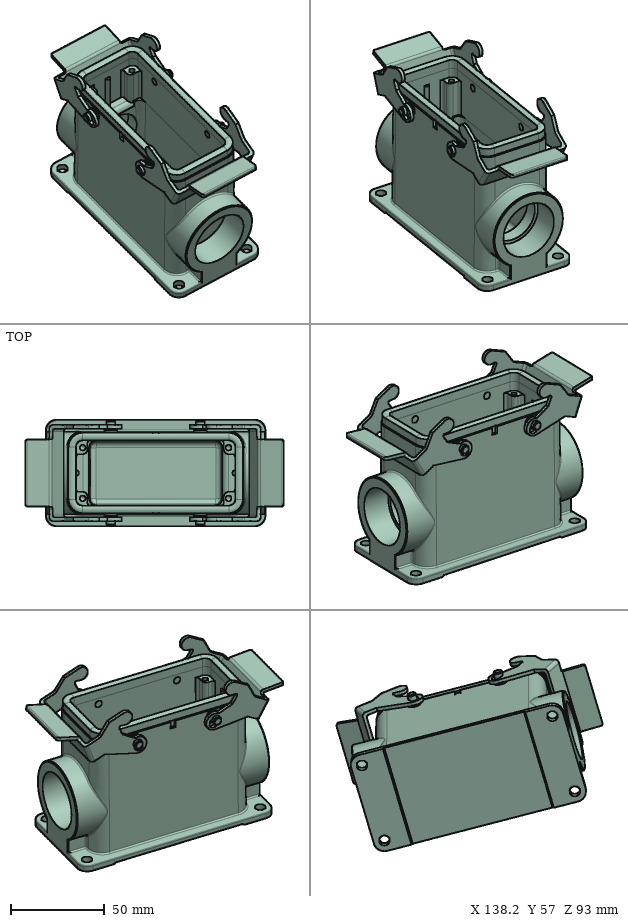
import cadquery as cq
import math

base_length = 117.3
base_width = 57.0
base_thickness = 3.7
base_corner_radius = 6.0
base_edge_round = 0.4
mount_hole_diameter = 5.7
mount_hole_x = 52.7
mount_hole_y = 22.4
foot_relief_length = 77.3
foot_relief_height = 0.8

body_top_z = 75.4
body_top_half_x = 46.9
body_top_half_y = 21.8
body_draft = 0.5
body_top_corner_radius = 7.7
body_top_chamfer = 0.4
body_root_round = 0.8

rim_top_z = 80.6
rim_crown = 0.7
rim_half_x = body_top_half_x - body_top_chamfer
rim_half_y = body_top_half_y - body_top_chamfer
rim_wall = 4.0
rim_corner_radius = 7.5

cavity_half_x = rim_half_x - rim_wall
cavity_half_y = rim_half_y - rim_wall
cavity_corner_radius = rim_corner_radius - rim_wall
upper_draft_start_z = 74.8
ledge_z = 48.3
floor_z = 5.0
upper_draft = 0.1
lower_half_x = 35.6
lower_half_y = cavity_half_y - upper_draft
lower_draft = 0.8
lower_corner_radius = 3.9
floor_round = 2.8
ledge_round = 3.2

post_top_z = 69.1
post_inner_x = 36.5
post_inner_y = 10.1
post_round = 2.5
post_hole_x = 38.9
post_hole_y = 13.5
post_hole_diameter = 3.0
post_hole_depth = 11.0
post_hole_point = 0.8
post_flare = 1.4
rib_diameter = 3.0
rib_top_z = 69.0

entry_axis_z = 30.2
entry_diameter = 44.2
entry_end_x = base_length / 2
entry_end_chamfer = 0.5
entry_bore_diameter = 32.0
entry_bore_depth = 15.9
entry_opening_diameter = 28.0
pedestal_half_width = 11.7

notch_width = 3.2
notch_bottom_z = 70.8
notch_depth = 1.1

pin_x = 23.9
pin_z = 71.0
pin_diameter = 4.8
pin_tip_diameter = 4.0
pin_tip_length = 0.7
pin_end_y = 28.2
shank_diameter = 4.0
collar_diameter = 7.0
collar_outer_diameter = 5.7
collar_seat_y = body_top_half_y - 0.1

sheet = 2.1
lever_half_width = 25.7
lever_inner_y = lever_half_width - sheet
plate_outer_x = 27.6
plate_inner_x = plate_outer_x - sheet
plate_bottom_z = 7.5
plate_top_z = 19.3
plate_outer_round = 2.1
plate_inner_round = 1.4
eye_radius = 5.1
slot_travel = 1.4
hook_center_x = 0.35
hook_center_z = 20.7
hook_radius = 4.0
hook_end_angle = -65.0
hook_back_x = 9.5
throat_x = 17.4
throat_round = 2.8
mouth_x = 5.8
mouth_z = 18.9
mouth_round = 1.0
arm_x = 5.4
arm_z = 12.1
heel_x = 19.0
tab_width = 35.9
tab_angle = 35.0
tab_length = 13.7
tab_bend_z = 21.1
tab_bend_round = 2.1
tab_root_round = 1.4
tab_corner_round = 1.4
tab_edge_round = 0.7
left_tilt = 30.5
right_tilt = 20.5


def rounded_block(half_x, half_y, radius, bottom_z, top_z):
    """Upright block with rounded vertical corners."""
    block = cq.Workplane("XY").workplane(offset=bottom_z)
    return block.rect(2 * half_x, 2 * half_y).extrude(top_z - bottom_z).edges("|Z").fillet(radius)


def drafted_block(half_x, half_y, radius, top_z, bottom_z, growth):
    """Rounded block whose half sizes change by `growth` from its top down to its bottom."""
    height = top_z - bottom_z
    taper = -math.degrees(math.atan(growth / height))
    outline = cq.Sketch().rect(2 * half_x, 2 * half_y).vertices().fillet(radius)
    plane = cq.Plane(origin=(0, 0, top_z), xDir=(1, 0, 0), normal=(0, 0, -1))
    return cq.Workplane(plane).placeSketch(outline).extrude(height, taper=taper)


def box_between(x0, x1, y0, y1, z0, z1):
    return cq.Workplane("XY").box(x1 - x0, y1 - y0, z1 - z0, centered=False).translate((x0, y0, z0))


def x_cylinder(diameter, x0, x1):
    """Cylinder on the cable entry axis."""
    plane = cq.Workplane("YZ", origin=(x0, 0, entry_axis_z))
    return plane.circle(diameter / 2).extrude(x1 - x0)


def make_base():
    base = rounded_block(base_length / 2, base_width / 2, base_corner_radius, 0, base_thickness)
    base = base.faces(">Z").edges().fillet(base_edge_round)
    relief_half = foot_relief_length / 2
    relief = cq.Workplane("XZ").polyline([
        (-relief_half - foot_relief_height, 0),
        (relief_half + foot_relief_height, 0),
        (relief_half, foot_relief_height),
        (-relief_half, foot_relief_height),
    ]).close().extrude(base_width, both=True)
    return base.cut(relief)


def make_body():
    body = drafted_block(body_top_half_x, body_top_half_y, body_top_corner_radius,
                         body_top_z, base_thickness, body_draft)
    return body.faces(">Z").edges().chamfer(body_top_chamfer)


def make_rim():
    """Rim wall with an arched top, swept round the rim's middle line."""
    mid_x = rim_half_x - rim_wall / 2
    mid_y = rim_half_y - rim_wall / 2
    radius = rim_corner_radius - rim_wall / 2
    flat_x = mid_x - radius
    flat_y = mid_y - radius
    path = (
        cq.Workplane("XY", origin=(0, 0, body_top_z))
        .moveTo(mid_x, -flat_y)
        .lineTo(mid_x, flat_y)
        .radiusArc((flat_x, mid_y), -radius)
        .lineTo(-flat_x, mid_y)
        .radiusArc((-mid_x, flat_y), -radius)
        .lineTo(-mid_x, -flat_y)
        .radiusArc((-flat_x, -mid_y), -radius)
        .lineTo(flat_x, -mid_y)
        .radiusArc((mid_x, -flat_y), -radius)
        .close()
    )
    root = body_top_z - 2 * body_top_chamfer
    shoulder = rim_top_z - rim_crown
    section = (
        cq.Workplane("XZ", origin=(0, -flat_y, 0))
        .moveTo(mid_x - rim_wall / 2, root)
        .lineTo(mid_x + rim_wall / 2, root)
        .lineTo(mid_x + rim_wall / 2, shoulder)
        .threePointArc((mid_x, rim_top_z), (mid_x - rim_wall / 2, shoulder))
        .close()
    )
    return section.sweep(path)


def make_entry_outside(side):
    """Cable entry on its pedestal, on the side given by -1 or +1."""
    start_x = body_top_half_x - body_top_corner_radius
    entry = x_cylinder(entry_diameter, start_x, entry_end_x)
    pedestal = box_between(start_x, entry_end_x, -pedestal_half_width, pedestal_half_width,
                           base_thickness / 2, entry_axis_z)
    entry = entry.union(pedestal).faces(">X").edges().chamfer(entry_end_chamfer)
    return entry if side > 0 else entry.mirror("YZ")


def make_ledge_round():
    """Cutter that rounds the inner edge of the ledge at the +X end of the cavity."""
    center_x = lower_half_x + ledge_round
    center_z = ledge_z - ledge_round
    diagonal = ledge_round * math.sqrt(0.5)
    return (
        cq.Workplane("XZ")
        .moveTo(lower_half_x - lower_draft, ledge_z)
        .lineTo(lower_half_x - lower_draft, center_z)
        .lineTo(lower_half_x, center_z)
        .threePointArc((center_x - diagonal, center_z + diagonal), (center_x, ledge_z))
        .close()
        .extrude(post_inner_y + post_round, both=True)
    )


def make_cavity():
    mouth = rounded_block(cavity_half_x, cavity_half_y, cavity_corner_radius,
                          upper_draft_start_z, rim_top_z)
    upper = drafted_block(cavity_half_x, cavity_half_y, cavity_corner_radius,
                          upper_draft_start_z, ledge_z, -upper_draft)
    lower = drafted_block(lower_half_x, lower_half_y, lower_corner_radius,
                          ledge_z, floor_z, -lower_draft)
    lower = lower.faces("<Z").edges().fillet(floor_round)
    ledge_edge = make_ledge_round()
    return mouth.union(upper).union(lower).union(ledge_edge).union(ledge_edge.mirror("YZ"))


def make_post(side_x, side_y):
    """Corner post that grows out of the cavity wall, with a blind screw hole."""
    wall_x = cavity_half_x - upper_draft
    wall_y = cavity_half_y - upper_draft
    outer_x = wall_x + rim_wall / 2
    outer_y = wall_y + rim_wall / 2
    root_z = ledge_z - ledge_round
    post = (
        cq.Workplane("XY", origin=(0, 0, root_z))
        .moveTo(outer_x, outer_y)
        .lineTo(outer_x, post_inner_y - post_flare)
        .lineTo(wall_x, post_inner_y - post_flare)
        .radiusArc((wall_x - post_flare, post_inner_y), -post_flare)
        .lineTo(post_inner_x + post_round, post_inner_y)
        .radiusArc((post_inner_x, post_inner_y + post_round), post_round)
        .lineTo(post_inner_x, wall_y - post_flare)
        .radiusArc((post_inner_x - post_flare, wall_y), -post_flare)
        .lineTo(post_inner_x - post_flare, outer_y)
        .close()
        .extrude(post_top_z - root_z)
    )
    hole_radius = post_hole_diameter / 2
    hole_bottom_z = post_top_z - post_hole_depth
    hole = cq.Workplane("XZ").polyline([
        (0, hole_bottom_z - post_hole_point),
        (hole_radius, hole_bottom_z),
        (hole_radius, post_top_z),
        (0, post_top_z),
    ]).close().revolve(360, (0, 0, 0), (0, 1, 0))
    post = post.cut(hole.translate((post_hole_x, post_hole_y, 0)))
    if side_x < 0:
        post = post.mirror("YZ")
    if side_y < 0:
        post = post.mirror("XZ")
    return post


def pin_profile_solid(points):
    """Solid of revolution about the pin axis, from (radius, y) points."""
    profile = cq.Workplane("XY").polyline(points).close()
    return profile.revolve(360, (0, 0, 0), (0, 1, 0))


def make_pin(side_y):
    """Pin on the Y axis with a shank, a collar against the housing wall and a chamfered tip."""
    collar_chamfer = (collar_diameter - collar_outer_diameter) / 2
    pin = pin_profile_solid([
        (0, cavity_half_y),
        (shank_diameter / 2, cavity_half_y),
        (shank_diameter / 2, collar_seat_y),
        (collar_diameter / 2, collar_seat_y),
        (collar_diameter / 2, lever_inner_y - collar_chamfer),
        (collar_outer_diameter / 2, lever_inner_y),
        (pin_diameter / 2, lever_inner_y),
        (pin_diameter / 2, pin_end_y - pin_tip_length),
        (pin_tip_diameter / 2, pin_end_y),
        (0, pin_end_y),
    ])
    return pin if side_y > 0 else pin.mirror("XZ")


def cut_pin_seats(housing):
    """Through holes for the pin shanks, each with a shallow seat for its collar."""
    seat = pin_profile_solid([
        (0, 0),
        (shank_diameter / 2, 0),
        (shank_diameter / 2, collar_seat_y),
        (collar_diameter / 2, collar_seat_y),
        (collar_diameter / 2, lever_inner_y),
        (0, lever_inner_y),
    ])
    seat = seat.union(seat.mirror("XZ"))
    for side in (-1, 1):
        housing = housing.cut(seat.translate((side * pin_x, 0, pin_z)))
    return housing


def round_roots(housing):
    """Rounds the inner corners between the body, the base and the cable entries."""
    margin = 1.4
    x_limit = entry_end_x - margin
    y_limit = base_width / 2 - margin
    foot = cq.selectors.BoxSelector(
        (-x_limit, -y_limit, base_thickness - 0.1),
        (x_limit, y_limit, base_thickness + 0.1),
    )
    wall_x = body_top_half_x + body_draft / 2
    entry_top_z = entry_axis_z + entry_diameter / 2
    left_entry, right_entry = [
        cq.selectors.BoxSelector(
            (side * wall_x - margin, -pedestal_half_width - margin, base_thickness + 0.1),
            (side * wall_x + margin, pedestal_half_width + margin, entry_top_z),
        )
        for side in (-1, 1)
    ]
    return housing.edges(foot + left_entry + right_entry).fillet(body_root_round)


def make_housing():
    housing = make_base().union(make_body())
    for side in (-1, 1):
        housing = housing.union(make_entry_outside(side))
    housing = round_roots(housing)
    housing = housing.union(make_rim())
    housing = housing.cut(make_cavity())

    for side_x in (-1, 1):
        rib = cq.Workplane("XY", origin=(side_x * cavity_half_x, 0, ledge_z - ledge_round))
        housing = housing.union(rib.circle(rib_diameter / 2).extrude(rib_top_z - ledge_z + ledge_round))
        for side_y in (-1, 1):
            housing = housing.union(make_post(side_x, side_y))

    shoulder_x = entry_end_x - entry_bore_depth
    for side in (-1, 1):
        x0, x1 = sorted((side * shoulder_x, side * entry_end_x))
        housing = housing.cut(x_cylinder(entry_bore_diameter, x0, x1))
    housing = housing.cut(x_cylinder(entry_opening_diameter, -entry_end_x, 0))

    for side in (-1, 1):
        y0, y1 = sorted((side * (rim_half_y - notch_depth), side * (body_top_half_y + body_draft)))
        housing = housing.cut(box_between(-notch_width / 2, notch_width / 2, y0, y1,
                                          notch_bottom_z, body_top_z))

    corners = [(x, y) for x in (-mount_hole_x, mount_hole_x) for y in (-mount_hole_y, mount_hole_y)]
    holes = cq.Workplane("XY").pushPoints(corners).circle(mount_hole_diameter / 2).extrude(base_thickness)
    return cut_pin_seats(housing.cut(holes))


def make_arm_blank():
    """Side outline of the lever as a block over the whole lever width."""
    hook_end = math.radians(hook_end_angle)
    heel_distance = math.hypot(heel_x, plate_bottom_z)
    tangent = math.atan2(plate_bottom_z, heel_x) - math.acos(eye_radius / heel_distance)
    blank = (
        cq.Workplane("XZ")
        .moveTo(0, eye_radius)
        .threePointArc((-eye_radius, 0), (eye_radius * math.cos(tangent), eye_radius * math.sin(tangent)))
        .lineTo(heel_x, plate_bottom_z)
        .lineTo(plate_outer_x, plate_bottom_z)
        .lineTo(plate_outer_x, plate_top_z)
        .lineTo(throat_x, plate_top_z)
        .lineTo(hook_back_x, hook_center_z + hook_radius)
        .lineTo(hook_center_x, hook_center_z + hook_radius)
        .threePointArc(
            (hook_center_x - hook_radius, hook_center_z),
            (hook_center_x + hook_radius * math.cos(hook_end),
             hook_center_z + hook_radius * math.sin(hook_end)),
        )
        .lineTo(mouth_x, mouth_z)
        .lineTo(arm_x, arm_z)
        .close()
        .extrude(lever_half_width, both=True)
    )
    blank = blank.edges(cq.selectors.NearestToPointSelector((throat_x, 0, plate_top_z))).fillet(throat_round)
    return blank.edges(cq.selectors.NearestToPointSelector((mouth_x, 0, mouth_z))).fillet(mouth_round)


def make_tab():
    """Grip tab that rises from the plate and bends outward."""
    rise = math.radians(tab_angle)
    end_x = plate_inner_x + tab_length * math.cos(rise)
    end_z = tab_bend_z + tab_length * math.sin(rise)
    outer_bend_z = tab_bend_z + sheet * math.tan(rise) - sheet / math.cos(rise)
    tab = cq.Workplane("XZ").polyline([
        (plate_inner_x, plate_bottom_z),
        (plate_inner_x, tab_bend_z),
        (end_x, end_z),
        (end_x + sheet * math.sin(rise), end_z - sheet * math.cos(rise)),
        (plate_outer_x, outer_bend_z),
        (plate_outer_x, plate_bottom_z),
    ]).close().extrude(tab_width / 2, both=True)
    bend = cq.selectors.NearestToPointSelector((plate_inner_x, 0, tab_bend_z))
    tab = tab.edges(bend).fillet(tab_bend_round)
    tip_edge = cq.selectors.NearestToPointSelector((end_x, 0, end_z))
    tab = tab.edges(tip_edge).fillet(tab_edge_round)
    tab_plane = cq.Plane(
        origin=(end_x + sheet * math.sin(rise), 0, end_z - sheet * math.cos(rise)),
        xDir=(math.cos(rise), 0, math.sin(rise)),
        normal=(-math.sin(rise), 0, math.cos(rise)),
    )
    span = 4 * tab_length
    plan = cq.Workplane(tab_plane).center(-span / 2, 0).rect(span, tab_width).extrude(span, both=True)
    local_normal_edges = cq.selectors.ParallelDirSelector(tab_plane.zDir)
    return tab.intersect(plan.edges(local_normal_edges).fillet(tab_corner_round))


def make_lever(side, tilt):
    """Lever with its two pins, on the side given by -1 or +1, leaning outward by `tilt` degrees."""
    far = 2 * (plate_outer_x + tab_length)
    inside = box_between(-far, plate_inner_x, -lever_inner_y, lever_inner_y, -far, far)
    inside = inside.edges("|Z and >X").fillet(plate_inner_round)
    lever = make_arm_blank()
    lever = lever.edges("|Z and >X").fillet(plate_outer_round)
    lever = lever.cut(inside).union(make_tab())

    for root_y in (-tab_width / 2, tab_width / 2):
        root = cq.selectors.BoxSelector(
            (plate_inner_x, root_y - 0.1, plate_top_z - 0.1),
            (plate_outer_x, root_y + 0.1, plate_top_z + 0.1),
        )
        lever = lever.edges(root).fillet(tab_root_round)

    slot = cq.Workplane("XZ").slot2D(2 * slot_travel + pin_diameter, pin_diameter, 90)
    lever = lever.cut(slot.extrude(lever_half_width, both=True))
    for side_y in (-1, 1):
        lever = lever.union(make_pin(side_y).translate((0, 0, slot_travel)))

    lever = lever.translate((0, 0, -slot_travel)).rotate((0, 0, 0), (0, 1, 0), tilt)
    lever = lever.translate((pin_x, 0, pin_z))
    return lever if side > 0 else lever.mirror("YZ")


housing = make_housing()
levers = [make_lever(-1, left_tilt), make_lever(1, right_tilt)]

result = cq.Compound.makeCompound([housing.val(), *[lever.val() for lever in levers]])